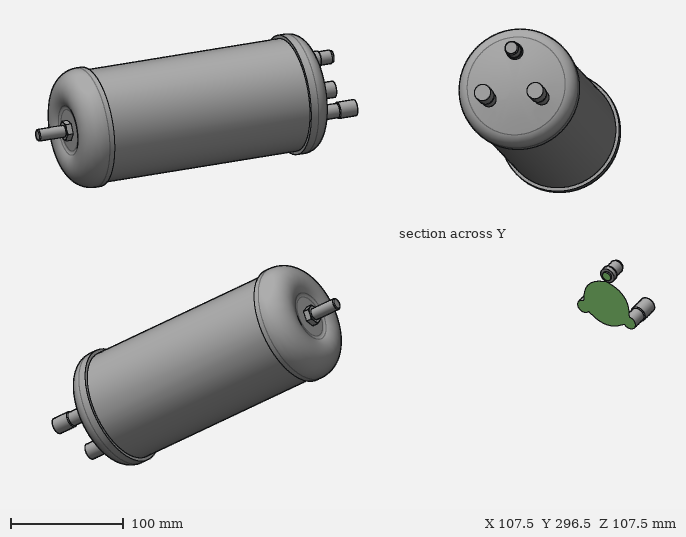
import cadquery as cq
import math

LENGTH = 296.5
FRONT_TIP_Y = -LENGTH / 2
REAR_TIP_Y = LENGTH / 2

SHELL_RADIUS = 50.7
CAP_DIAMETER = 107.5
CAP_RADIUS = CAP_DIAMETER / 2
FRONT_CAP_EDGE_Y = -96.5
FRONT_CAP_BEND_Y = -101.5
FRONT_BEND_RADIUS = 20.5
REAR_CAP_EDGE_Y = 93.5
REAR_CAP_BEND_Y = 100.5
REAR_KNUCKLE_RADIUS = 12.7
REAR_APEX_Y = 118.5

RECESS_MOUTH_RADIUS = 22.2
SEAT_RADIUS = 18.7

PIPE_SPACING = 47.5
PIPE_Z = -12.2
PIPE_RADIUS = 6.5
SOCKET_RADIUS = 7.5
SOCKET_LENGTH = 16.3

VALVE_Z = 30.0
VALVE_NECK_RADIUS = 4.5
VALVE_COLLAR_RADIUS = 7.0
VALVE_COLLAR_LENGTH = 5.0
VALVE_STEM_RADIUS = 6.2
VALVE_TIP_Y = 136.3
VALVE_STEM_LENGTH = 13.0
VALVE_TIP_CHAMFER_RADIAL = 1.0
VALVE_TIP_CHAMFER_AXIAL = 2.0

HEX_ACROSS_FLATS = 15.7
HEX_FRONT_Y = -123.0
HEX_CHAMFER_AXIAL = 0.5
FITTING_STEM_RADIUS = 5.3
FITTING_TIP_CHAMFER = 1.0

FRONT_BEND_CENTER_R = CAP_RADIUS - FRONT_BEND_RADIUS
MOUTH_ANGLE = math.acos((FRONT_BEND_CENTER_R - RECESS_MOUTH_RADIUS) / FRONT_BEND_RADIUS)
MOUTH_Y = FRONT_CAP_BEND_Y - FRONT_BEND_RADIUS * math.sin(MOUTH_ANGLE)
SEAT_FILLET_RADIUS = (RECESS_MOUTH_RADIUS - SEAT_RADIUS) / math.cos(MOUTH_ANGLE)
SEAT_Y = MOUTH_Y + SEAT_FILLET_RADIUS * (1 - math.sin(MOUTH_ANGLE))

KNUCKLE_CENTER_R = CAP_RADIUS - REAR_KNUCKLE_RADIUS
CROWN_HEIGHT = REAR_APEX_Y - REAR_CAP_BEND_Y
CROWN_RADIUS = (KNUCKLE_CENTER_R**2 + CROWN_HEIGHT**2 - REAR_KNUCKLE_RADIUS**2) / (
    2 * (CROWN_HEIGHT - REAR_KNUCKLE_RADIUS)
)
CROWN_CENTER_Y = REAR_APEX_Y - CROWN_RADIUS
CROWN_ANGLE = math.asin(KNUCKLE_CENTER_R / (CROWN_RADIUS - REAR_KNUCKLE_RADIUS))


def arc_point(center_r, center_y, radius, angle):
    """Point on an arc in the (radius, Y) half plane; the angle starts at the outward direction."""
    return (center_r + radius * math.cos(angle), center_y + radius * math.sin(angle))


def revolve_about_y(profile, x=0.0, z=0.0):
    """Revolve a closed (radius, Y) profile about Y and move it to the axis through (x, z)."""
    return profile.revolve(360, (0, 0, 0), (0, 1, 0)).translate((x, 0, z))


def make_tank():
    """Shell with its two wider end caps, as one solid of revolution."""
    bend_middle = arc_point(FRONT_BEND_CENTER_R, FRONT_CAP_BEND_Y, FRONT_BEND_RADIUS, -math.pi / 2)
    fillet_center_y = SEAT_Y - SEAT_FILLET_RADIUS
    fillet_middle_angle = (math.pi / 2 + MOUTH_ANGLE) / 2
    fillet_middle = arc_point(SEAT_RADIUS, fillet_center_y, SEAT_FILLET_RADIUS, fillet_middle_angle)
    knuckle_end_angle = math.pi / 2 - CROWN_ANGLE
    knuckle_middle = arc_point(KNUCKLE_CENTER_R, REAR_CAP_BEND_Y, REAR_KNUCKLE_RADIUS, knuckle_end_angle / 2)
    knuckle_end = arc_point(KNUCKLE_CENTER_R, REAR_CAP_BEND_Y, REAR_KNUCKLE_RADIUS, knuckle_end_angle)
    crown_middle = arc_point(0, CROWN_CENTER_Y, CROWN_RADIUS, math.pi / 2 - CROWN_ANGLE / 2)
    profile = (
        cq.Workplane("XY")
        .moveTo(0, SEAT_Y)
        .lineTo(SEAT_RADIUS, SEAT_Y)
        .threePointArc(fillet_middle, (RECESS_MOUTH_RADIUS, MOUTH_Y))
        .threePointArc(bend_middle, (CAP_RADIUS, FRONT_CAP_BEND_Y))
        .lineTo(CAP_RADIUS, FRONT_CAP_EDGE_Y)
        .lineTo(SHELL_RADIUS, FRONT_CAP_EDGE_Y)
        .lineTo(SHELL_RADIUS, REAR_CAP_EDGE_Y)
        .lineTo(CAP_RADIUS, REAR_CAP_EDGE_Y)
        .lineTo(CAP_RADIUS, REAR_CAP_BEND_Y)
        .threePointArc(knuckle_middle, knuckle_end)
        .threePointArc(crown_middle, (0, REAR_APEX_Y))
        .close()
    )
    return revolve_about_y(profile)


def make_pipe(x):
    """Rear pipe with a wider socket end; its root is buried in the rear cap."""
    socket_y = REAR_TIP_Y - SOCKET_LENGTH
    shoulder_length = SOCKET_RADIUS - PIPE_RADIUS
    profile = (
        cq.Workplane("XY")
        .moveTo(0, REAR_CAP_BEND_Y)
        .lineTo(PIPE_RADIUS, REAR_CAP_BEND_Y)
        .lineTo(PIPE_RADIUS, socket_y - shoulder_length)
        .lineTo(SOCKET_RADIUS, socket_y)
        .lineTo(SOCKET_RADIUS, REAR_TIP_Y)
        .lineTo(0, REAR_TIP_Y)
        .close()
    )
    return revolve_about_y(profile, x, PIPE_Z)


def make_valve():
    """Rear valve: narrow neck, round collar and chamfered stem."""
    collar_end_y = VALVE_TIP_Y - VALVE_STEM_LENGTH
    collar_start_y = collar_end_y - VALVE_COLLAR_LENGTH
    profile = (
        cq.Workplane("XY")
        .moveTo(0, REAR_CAP_BEND_Y)
        .lineTo(VALVE_NECK_RADIUS, REAR_CAP_BEND_Y)
        .lineTo(VALVE_NECK_RADIUS, collar_start_y)
        .lineTo(VALVE_COLLAR_RADIUS, collar_start_y)
        .lineTo(VALVE_COLLAR_RADIUS, collar_end_y)
        .lineTo(VALVE_STEM_RADIUS, collar_end_y)
        .lineTo(VALVE_STEM_RADIUS, VALVE_TIP_Y - VALVE_TIP_CHAMFER_AXIAL)
        .lineTo(VALVE_STEM_RADIUS - VALVE_TIP_CHAMFER_RADIAL, VALVE_TIP_Y)
        .lineTo(0, VALVE_TIP_Y)
        .close()
    )
    return revolve_about_y(profile, z=VALVE_Z)


def make_vessel():
    """Tank with the two pipes and the valve joined to its rear cap."""
    vessel = make_tank()
    for side in (-1, 1):
        vessel = vessel.union(make_pipe(side * PIPE_SPACING / 2))
    return vessel.union(make_valve())


def make_hex():
    """Hexagon on the seat, corners on the X axis, front corners cut by a cone."""
    hex_depth = SEAT_Y - HEX_FRONT_Y
    flat_radius = HEX_ACROSS_FLATS / 2
    corner_radius = flat_radius / math.cos(math.pi / 6)
    prism = (
        cq.Workplane("XZ", origin=(0, SEAT_Y, 0))
        .polygon(6, 2 * corner_radius)
        .extrude(hex_depth)
    )
    cone_profile = (
        cq.Workplane("XY")
        .moveTo(0, SEAT_Y)
        .lineTo(corner_radius, SEAT_Y)
        .lineTo(corner_radius, HEX_FRONT_Y + HEX_CHAMFER_AXIAL)
        .lineTo(flat_radius, HEX_FRONT_Y)
        .lineTo(0, HEX_FRONT_Y)
        .close()
    )
    return prism.intersect(revolve_about_y(cone_profile))


def make_fitting():
    """Front fitting: hexagon with a round stem that has a chamfered tip."""
    stem = (
        cq.Workplane("XZ", origin=(0, SEAT_Y, 0))
        .circle(FITTING_STEM_RADIUS)
        .extrude(SEAT_Y - FRONT_TIP_Y)
        .faces("<Y")
        .chamfer(FITTING_TIP_CHAMFER)
    )
    return make_hex().union(stem)


vessel = make_vessel()
fitting = make_fitting()
result = cq.Compound.makeCompound([vessel.val(), fitting.val()])